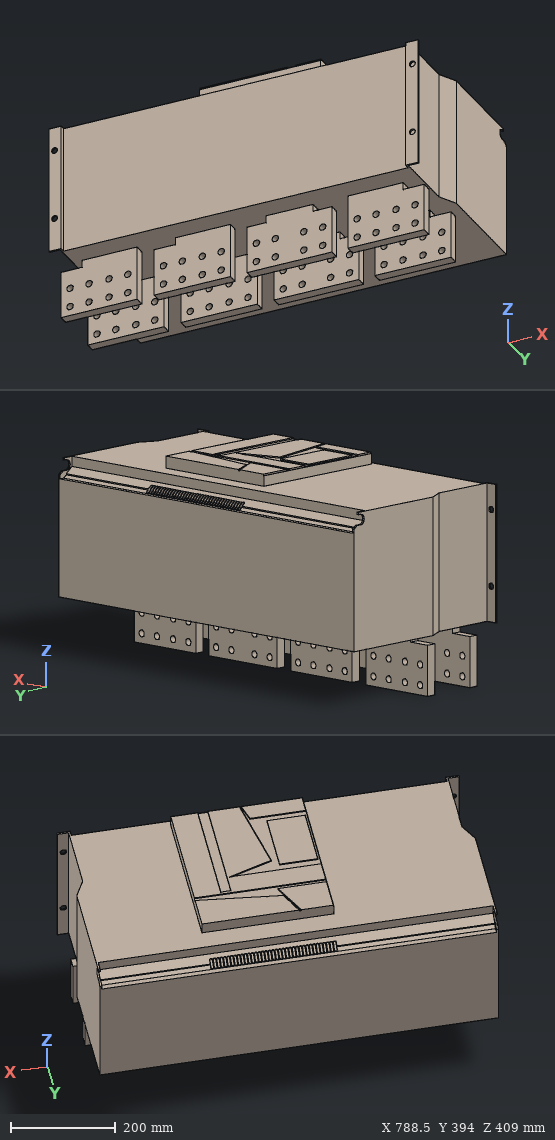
import cadquery as cq
import math


overall_width = 788.5
depth = 394.0
housing_bottom = 115.0
housing_top = 385.5
housing_height = housing_top - housing_bottom
front_face = 11.0
wide_half = 389.5
narrow_half = 370.5
taper_front = 138.0
taper_rear = 174.0
sheet = 4.0

flange_half = 393.0
flange_hole_diameter = 12.0
flange_hole_inset = 12.0
flange_hole_heights = (185.0, 335.0)

trough_front = 33.0
trough_step = 17.0
trough_floor_front = 10.0
trough_floor_depth = 39.5
trough_slope = 37.0
trough_step_height = 2.0

hook_radius = 10.0
hook_center = 18.0
hook_lip = 5.0
hook_tip = 13.0
hook_chamfer_length = 8.0
hook_chamfer_drop = 6.0

vent_count = 37
vent_pitch = 6.7
vent_width = 5.5
vent_rear = 11.0
vent_front = 27.0
vent_depth = 5.0

panel_left = -83.0
panel_width = 258.0
panel_front = 21.0
panel_rear = 322.0
panel_length = panel_rear - panel_front
panel_top = 409.0
relief = 2.0
lip_front = 1.5
lip_left = 1.0
lip_drop = 1.0
relief_front = panel_length - lip_front

channel_rear = 65.5
channel_front = 72.5
channel_bend = 96.0
split_left = 64.0
split_right = 67.0
split_foot = (88.0, 45.0)
strip_left = 185.0
strip_right = 205.0
strip_rear = 78.0
window_rear = 115.0
window_front = 263.0
tongue_point = (93.0, 143.5)
tongue_rear = 180.5
tongue_front = 123.0
corner_rear = 110.0
corner_front = 121.0
label_left = 5.0
label_right = 80.0
label_rear = 130.0
label_front = 251.0

bar_width = 162.5
wide_bar_width = 180.5
bar_thickness = 20.5
bar_rows = (58.0, 176.0)
shoulder_height = 100.0
narrow_notch = 40.0
wide_notch = 45.0
bar_hole_diameter = 13.5
bar_hole_edge = 20.0
bar_hole_pitch = 40.0
bars = (
    (flange_half - overall_width, bar_width, wide_notch, 0),
    (-197.0, bar_width, wide_notch, 0),
    (1.0, wide_bar_width, narrow_notch, narrow_notch),
    (215.0, bar_width, 0, wide_notch),
)


def block(x0, x1, y0, y1, z0, z1):
    return cq.Workplane("XY").box(x1 - x0, y1 - y0, z1 - z0, centered=False).translate((x0, y0, z0))


def rear_point(forward, down):
    """Point in the YZ plane from its distances to the back and to the top of the housing."""
    return (depth - forward, housing_top - down)


def housing():
    right_side = [
        (narrow_half, front_face),
        (narrow_half, taper_front),
        (wide_half, taper_rear),
        (wide_half, depth),
    ]
    left_side = [(-x, y) for x, y in reversed(right_side)]
    outline = cq.Workplane("XY").workplane(offset=housing_bottom).polyline(right_side + left_side)
    return outline.close().extrude(housing_height)


def flange(side):
    """Sheet strip bent outwards at the front; side is +1 for right and -1 for left."""
    outline = [
        (side * (narrow_half - sheet), front_face),
        (side * (narrow_half - sheet), 0),
        (side * flange_half, 0),
        (side * flange_half, sheet),
        (side * narrow_half, sheet),
        (side * narrow_half, front_face),
    ]
    base = cq.Workplane("XY").workplane(offset=housing_bottom)
    strip = base.polyline(outline).close().extrude(housing_height)
    hole_x = side * (flange_half - flange_hole_inset)
    holes = (
        cq.Workplane("XZ")
        .pushPoints([(hole_x, height) for height in flange_hole_heights])
        .circle(flange_hole_diameter / 2)
        .extrude(-sheet)
    )
    return strip.cut(holes)


def trough():
    slope = math.tan(math.radians(trough_slope))
    step_foot = trough_floor_depth - (trough_step - trough_floor_front) * slope
    step_head = step_foot - trough_step_height
    wall_foot = step_head - (trough_front - trough_step) * slope
    profile = [
        rear_point(0, 0),
        rear_point(trough_front, 0),
        rear_point(trough_front, wall_foot),
        rear_point(trough_step, step_head),
        rear_point(trough_step, step_foot),
        rear_point(trough_floor_front, trough_floor_depth),
        rear_point(0, trough_floor_depth),
    ]
    inner_half = wide_half - sheet
    return cq.Workplane("YZ").polyline(profile).close().extrude(inner_half, both=True)


def vents():
    """Round-ended slots cut square to the slope of the trough."""
    slope_angle = math.radians(trough_slope)
    middle = (vent_rear + vent_front) / 2
    drop = trough_floor_depth - (middle - trough_floor_front) * math.tan(slope_angle)
    y, z = rear_point(middle, drop)
    slope_plane = cq.Plane(
        origin=(panel_left + panel_width / 2, y, z),
        xDir=(1, 0, 0),
        normal=(0, math.sin(slope_angle), math.cos(slope_angle)),
    )
    vent_length = (vent_front - vent_rear) / math.cos(slope_angle)
    return (
        cq.Workplane(slope_plane)
        .rarray(vent_pitch, 8, vent_count, 1)
        .slot2D(vent_length, vent_width, 90)
        .extrude(vent_depth, both=True)
    )


def hook_notch():
    slot_bottom = hook_lip + 2 * hook_radius
    return (
        cq.Workplane("YZ")
        .moveTo(*rear_point(0, 0))
        .lineTo(*rear_point(hook_tip, 0))
        .lineTo(*rear_point(hook_tip, hook_lip))
        .lineTo(*rear_point(hook_center, hook_lip))
        .threePointArc(
            rear_point(hook_center + hook_radius, hook_lip + hook_radius),
            rear_point(hook_center, slot_bottom),
        )
        .lineTo(*rear_point(hook_chamfer_length, slot_bottom))
        .lineTo(*rear_point(0, slot_bottom + hook_chamfer_drop))
        .close()
        .extrude(wide_half, both=True)
    )


def panel_relief(points):
    """Raised area of the panel; points run right from its left edge and forward from its rear edge."""
    outline = [(panel_left + right, panel_rear - forward) for right, forward in points]
    base = cq.Workplane("XY").workplane(offset=panel_top - relief)
    return base.polyline(outline).close().extrude(relief)


def panel():
    panel_right = panel_left + panel_width
    floor = panel_top - relief
    lip_top = floor - lip_drop
    plate = block(panel_left, panel_right, panel_front, panel_rear, housing_top, lip_top)
    plate = plate.union(
        block(panel_left + lip_left, panel_right, panel_front + lip_front, panel_rear, lip_top, floor)
    )
    rear_left_area = [
        (lip_left, 0),
        (split_left, 0),
        (channel_bend, channel_rear),
        (lip_left, channel_rear),
    ]
    rear_right_area = [(split_right, 0), (panel_width, 0), (panel_width, channel_rear), split_foot]
    main_area = [
        (lip_left, channel_front),
        (panel_width, channel_front),
        (panel_width, relief_front),
        (strip_right, relief_front),
        (strip_right, strip_rear),
        (strip_left, strip_rear),
        (strip_left, relief_front),
        (tongue_front, relief_front),
        tongue_point,
        (tongue_rear, window_rear),
        (lip_left, window_rear),
    ]
    front_left_area = [
        (lip_left, window_front),
        (corner_rear, window_front),
        (corner_front, relief_front),
        (lip_left, relief_front),
    ]
    label_area = [
        (label_left, label_rear),
        (label_right, label_rear),
        (label_right, label_front),
        (label_left, label_front),
    ]
    for area in (rear_left_area, rear_right_area, main_area, front_left_area, label_area):
        plate = plate.union(panel_relief(area))
    return plate


def busbar(left, width, left_notch, right_notch, front):
    right = left + width
    pad = block(left, right, front, front + bar_thickness, 0, shoulder_height)
    neck = block(
        left + left_notch, right - right_notch, front, front + bar_thickness, shoulder_height, housing_bottom
    )
    columns = [bar_hole_edge, bar_hole_edge + bar_hole_pitch]
    columns += [width - column for column in columns]
    rows = [bar_hole_edge, bar_hole_edge + bar_hole_pitch]
    holes = (
        cq.Workplane("XZ", origin=(left, front, 0))
        .pushPoints([(column, row) for column in columns for row in rows])
        .circle(bar_hole_diameter / 2)
        .extrude(-bar_thickness)
    )
    return pad.union(neck).cut(holes)


result = housing().cut(trough()).cut(vents()).cut(hook_notch())
for side in (-1, 1):
    result = result.union(flange(side))
result = result.union(panel())
for front in bar_rows:
    for bar in bars:
        result = result.union(busbar(*bar, front))